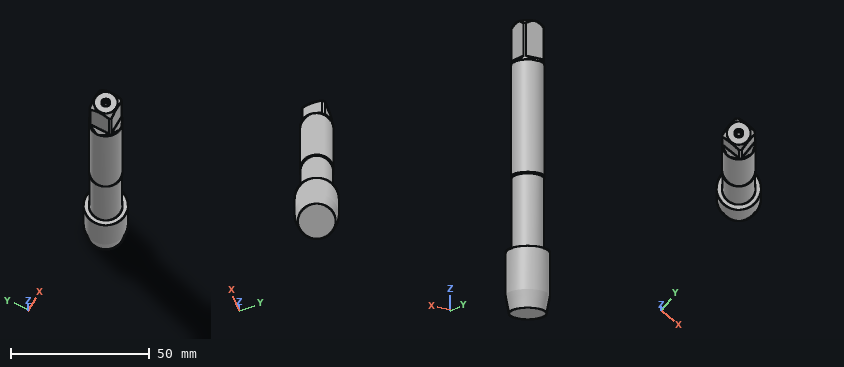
import cadquery as cq

total_length = 110.0
head_diameter = 16.1
head_tip_diameter = 13.6
head_length = 23.1
head_taper_length = 6.6

neck_diameter = 11.8
shank_diameter = 12.2
root_flare_height = 0.9
step_top = 51.8
step_height = 0.5
shoulder_height = 94.4
shoulder_chamfer_height = 0.2

square_width = 9.0
flat_bottom = 95.9
ramp_slope = 1.05
end_face_diameter = 8.6
end_chamfer_height = (neck_diameter - end_face_diameter) / 2

centre_hole_diameter = 2.0
centre_hole_depth = 2.2
centre_hole_point_depth = centre_hole_diameter / 2
countersink_diameter = 3.1
countersink_depth = (countersink_diameter - centre_hole_diameter) / 2


def revolve_profile(points):
    """Turn a closed (radius, height) outline about the Z axis."""
    return cq.Workplane("XZ").polyline(points).close().revolve(360, (0, 0), (0, 1))


def make_head():
    """Cylindrical head that tapers towards its lower tip."""
    return revolve_profile([
        (0, 0),
        (head_tip_diameter / 2, 0),
        (head_diameter / 2, head_taper_length),
        (head_diameter / 2, head_length),
        (0, head_length),
    ])


def make_shank_blank():
    """Turned shank with flared root, neck, shoulder and bevelled end."""
    neck_radius = neck_diameter / 2
    shank_radius = shank_diameter / 2
    return revolve_profile([
        (0, head_length),
        (shank_radius, head_length),
        (neck_radius, head_length + root_flare_height),
        (neck_radius, step_top - step_height),
        (shank_radius, step_top),
        (shank_radius, shoulder_height),
        (neck_radius, shoulder_height + shoulder_chamfer_height),
        (neck_radius, total_length - end_chamfer_height),
        (end_face_diameter / 2, total_length),
        (0, total_length),
    ])


def make_flat_cutter():
    """Material beside one flat of the square, bounded below by a sloping ramp."""
    flat_offset = square_width / 2
    outer_offset = shank_diameter
    ramp_bottom = flat_bottom - ramp_slope * (outer_offset - flat_offset)
    return (
        cq.Workplane("XZ")
        .polyline([
            (flat_offset, flat_bottom),
            (outer_offset, ramp_bottom),
            (outer_offset, total_length),
            (flat_offset, total_length),
        ])
        .close()
        .extrude(shank_diameter / 2, both=True)
    )


def make_centre_hole():
    """Pointed blind centre hole with a countersunk mouth."""
    hole_radius = centre_hole_diameter / 2
    return revolve_profile([
        (0, total_length - centre_hole_depth - centre_hole_point_depth),
        (hole_radius, total_length - centre_hole_depth),
        (hole_radius, total_length - countersink_depth),
        (countersink_diameter / 2, total_length),
        (0, total_length),
    ])


def make_shank():
    """Shank with a square drive and a centre hole at its upper end."""
    shank = make_shank_blank()
    for angle in range(0, 360, 90):
        shank = shank.cut(make_flat_cutter().rotate((0, 0, 0), (0, 0, 1), angle))
    return shank.cut(make_centre_hole())


head = make_head()
shank = make_shank()
result = cq.Compound.makeCompound([head.val(), shank.val()])